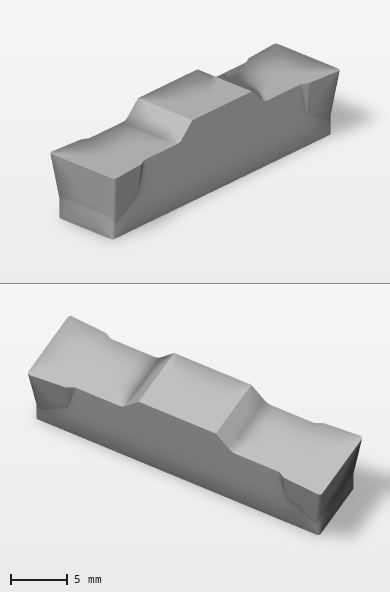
import cadquery as cq
import math

length = 29.9
head_width = 7.95
total_height = 8.07

body_width = 6.58
shoulder_height = 6.43
crest_length = 7.83
ramp_root_radius = 1.0
ramp_angle = 45.0

relief_angle = 7.0
land_height = 2.25
side_length = 3.92
side_setback = 0.3
neck_angle = 30.0
neck_length = 1.8
neck_radius = 0.2
corner_radius = 0.3
head_depth = 5.53

end_setback = (shoulder_height - land_height) * math.tan(math.radians(relief_angle))
body_length = length - 2 * end_setback


def make_body():
    """Straight bar with rounded upright corners and a ramped crest on top."""
    crest_rise = total_height - shoulder_height
    bar = (
        cq.Workplane("XY")
        .rect(body_width, body_length)
        .extrude(shoulder_height)
        .edges("|Z")
        .fillet(corner_radius)
    )
    ramp = math.radians(ramp_angle)
    half_ramp = ramp / 2
    crest_half = crest_length / 2
    ramp_foot = crest_half + crest_rise / math.tan(ramp)
    root_tangent = ramp_root_radius * math.tan(half_ramp)
    root_end = ramp_foot + root_tangent
    ramp_start = (
        ramp_foot - root_tangent * math.cos(ramp),
        shoulder_height + root_tangent * math.sin(ramp),
    )
    arc_middle = (
        root_end - ramp_root_radius * math.sin(half_ramp),
        shoulder_height + ramp_root_radius * (1 - math.cos(half_ramp)),
    )
    crest = (
        cq.Workplane("YZ")
        .moveTo(-root_end, 0)
        .lineTo(root_end, 0)
        .lineTo(root_end, shoulder_height)
        .threePointArc(arc_middle, ramp_start)
        .lineTo(crest_half, total_height)
        .lineTo(-crest_half, total_height)
        .lineTo(-ramp_start[0], ramp_start[1])
        .threePointArc((-arc_middle[0], arc_middle[1]), (-root_end, shoulder_height))
        .close()
        .extrude(body_width / 2, both=True)
    )
    return bar.union(crest)


def make_head():
    """Head at the +Y end: flared in plan and relieved downwards on every wall."""
    end_y = length / 2
    side_y = end_y - side_length
    neck_y = side_y - neck_length
    end_x = head_width / 2
    side_x = end_x - side_setback
    neck_x = side_x - neck_length * math.tan(math.radians(neck_angle))
    outline = [
        (end_x, end_y),
        (side_x, side_y),
        (neck_x, neck_y),
        (-neck_x, neck_y),
        (-side_x, side_y),
        (-end_x, end_y),
    ]
    head = (
        cq.Workplane("XY", origin=(0, 0, shoulder_height))
        .polyline(outline)
        .close()
        .extrude(-head_depth, taper=relief_angle)
    )
    upright_edges = head.edges("not #Z")
    end_corners = upright_edges.filter(lambda edge: edge.Center().y > end_y - side_length / 2)
    head = end_corners.fillet(corner_radius)

    def is_neck_edge(edge):
        box = edge.BoundingBox()
        spans_depth = box.zlen > head_depth / 2
        return spans_depth and abs(edge.Center().y - side_y) < neck_length / 2

    return head.edges().filter(is_neck_edge).fillet(neck_radius)


head = make_head()
result = make_body().union(head).union(head.mirror("XZ"))